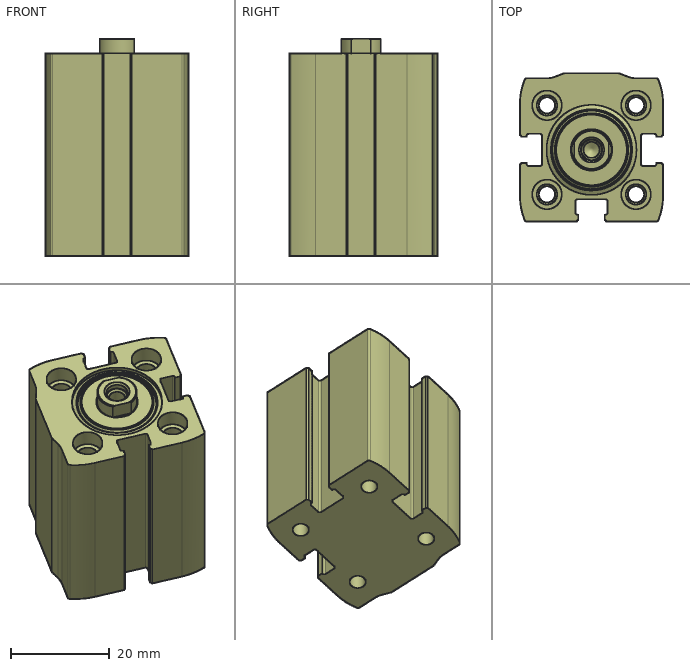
import cadquery as cq
import math

total_height = 44.0
body_height = 41.0
body_width = 29.0
body_depth = 30.0
half_width = body_width / 2
pad_face_y = body_depth - half_width
pad_half_width = 5.55
pad_flank_angle = 21.0
pad_foot_radius = 4.4

bow_start_y = 9.25
bow_radius = 13.2
corner_round = 0.5

slot_mouth_width = 5.3
slot_inner_width = 6.45
slot_lip = 1.4
slot_depth = 4.5
slot_mouth_round = 0.3
slot_inner_round = 0.4

mount_spacing = 18.0
mount_bore_d = 6.0
mount_bore_depth = 3.7
mount_thread_d = 4.15
mount_thread_depth = 14.1
mount_through_d = 3.25

ring_wall_d = 18.2
ring_wall_depth = 0.85
ring_crest_d = 16.45
ring_crest_depth = 0.35
ring_crest_chamfer_drop = 0.15
groove_d = 16.0
groove_depth = 0.75
cover_cone_bottom_d = 15.85
cover_cone_top_d = 14.85
cover_cone_top_depth = 0.3
cover_face_d = 14.25
cover_face_depth = 0.18

rod_d = 8.0
rod_chamfer = 0.18
rod_flat_width = 7.0
rod_flat_below_face = 0.45
rod_flat_runout_angle = 30.0
rod_flat_clearance = 0.45
rod_insert = 8.8
rod_bore_chamfer = 0.2

socket_mouth_d = 5.1
socket_bore_d = 4.3
socket_bore_depth = 1.5
socket_shoulder_d = 4.15
socket_core_d = 3.25
socket_core_depth = 6.15
drill_tip_half_angle = 59.0


def revolved(points):
    """Solid of revolution about Z from a closed (radius, height) outline."""
    return cq.Workplane("XZ").polyline(points).close().revolve(360, (0, 0), (0, 1))


def round_vertical_edges(body, places, radius):
    """Rounds the edges along Z that pass through the given (x, y) places."""
    for x, y in places:
        edge = body.edges("|Z").edges(cq.NearestToPointSelector((x, y, body_height / 2)))
        body = edge.fillet(radius)
    return body


def housing_block():
    """Solid block with bowed corners and the raised pad on +Y."""
    rise = half_width - bow_start_y
    corner_x = half_width - (bow_radius - math.sqrt(bow_radius**2 - rise**2))
    slope = math.radians(pad_flank_angle)
    flank_end_y = half_width + pad_foot_radius * (1 - math.cos(slope))
    flank_end_x = pad_half_width + (pad_face_y - flank_end_y) / math.tan(slope)
    foot_x = flank_end_x + pad_foot_radius * math.sin(slope)
    right_half = (
        cq.Workplane("XY")
        .moveTo(0, -half_width)
        .lineTo(corner_x, -half_width)
        .radiusArc((half_width, -bow_start_y), -bow_radius)
        .lineTo(half_width, bow_start_y)
        .radiusArc((corner_x, half_width), -bow_radius)
        .lineTo(foot_x, half_width)
        .radiusArc((flank_end_x, flank_end_y), pad_foot_radius)
        .lineTo(pad_half_width, pad_face_y)
        .lineTo(0, pad_face_y)
        .close()
        .extrude(body_height)
    )
    corners = [(corner_x, -half_width), (corner_x, half_width)]
    right_half = round_vertical_edges(right_half, corners, corner_round)
    return right_half.union(right_half.mirror("YZ"))


def slot_cutter(angle):
    """T-slot along Z that opens on -Y, turned about Z by the given angle."""
    mouth_half = slot_mouth_width / 2
    lip_y = -half_width + slot_lip
    inner = (
        cq.Workplane("XY")
        .rect(slot_inner_width, slot_depth - slot_lip)
        .extrude(body_height)
        .edges("|Z")
        .fillet(slot_inner_round)
        .translate((0, (lip_y - half_width + slot_depth) / 2, 0))
    )
    mouth = (
        cq.Workplane("XY")
        .moveTo(-mouth_half - slot_mouth_round, -half_width)
        .radiusArc((-mouth_half, -half_width + slot_mouth_round), slot_mouth_round)
        .lineTo(-mouth_half, lip_y)
        .lineTo(mouth_half, lip_y)
        .lineTo(mouth_half, -half_width + slot_mouth_round)
        .radiusArc((mouth_half + slot_mouth_round, -half_width), slot_mouth_round)
        .close()
        .extrude(body_height)
    )
    cutter = inner.union(mouth)
    return cutter.rotate((0, 0, 0), (0, 0, 1), angle)


def mount_hole():
    """Counterbored through hole that narrows below its threaded length."""
    cone_end = mount_thread_depth + (mount_thread_d - mount_through_d) / 2
    return revolved(
        [
            (0, body_height),
            (mount_bore_d / 2, body_height),
            (mount_bore_d / 2, body_height - mount_bore_depth),
            (mount_thread_d / 2, body_height - mount_bore_depth),
            (mount_thread_d / 2, body_height - mount_thread_depth),
            (mount_through_d / 2, body_height - cone_end),
            (mount_through_d / 2, 0),
            (0, 0),
        ]
    )


def cover_recess():
    """Shallow dish above the cover with two ring grooves around it."""
    return revolved(
        [
            (0, body_height),
            (ring_wall_d / 2, body_height),
            (ring_wall_d / 2, body_height - ring_wall_depth),
            (ring_crest_d / 2, body_height - ring_crest_depth),
            (groove_d / 2, body_height - ring_crest_depth - ring_crest_chamfer_drop),
            (groove_d / 2, body_height - groove_depth),
            (cover_cone_bottom_d / 2, body_height - groove_depth),
            (cover_cone_top_d / 2, body_height - cover_cone_top_depth),
            (cover_face_d / 2, body_height - cover_face_depth),
            (0, body_height - cover_face_depth),
        ]
    )


def rod_bore():
    """Blind bore for the rod, chamfered where it meets the cover face."""
    face_z = body_height - cover_face_depth
    return revolved(
        [
            (0, face_z),
            (rod_d / 2 + rod_bore_chamfer, face_z),
            (rod_d / 2, face_z - rod_bore_chamfer),
            (rod_d / 2, body_height - rod_insert),
            (0, body_height - rod_insert),
        ]
    )


def make_housing():
    body = housing_block()
    for angle in (0, 90, 270):
        body = body.cut(slot_cutter(angle))
    for x_side in (-1, 1):
        for y_side in (-1, 1):
            place = (x_side * mount_spacing / 2, y_side * mount_spacing / 2, 0)
            body = body.cut(mount_hole().translate(place))
    return body.cut(cover_recess()).cut(rod_bore())


def rod_socket():
    """Stepped blind hole in the rod end, with a drill tip."""
    tip = socket_core_d / 2 / math.tan(math.radians(drill_tip_half_angle))
    shoulder_drop = (socket_shoulder_d - socket_core_d) / 2
    mouth_drop = (socket_mouth_d - socket_bore_d) / 2
    return revolved(
        [
            (0, total_height),
            (socket_mouth_d / 2, total_height),
            (socket_bore_d / 2, total_height - mouth_drop),
            (socket_bore_d / 2, total_height - socket_bore_depth),
            (socket_shoulder_d / 2, total_height - socket_bore_depth),
            (socket_core_d / 2, total_height - socket_bore_depth - shoulder_drop),
            (socket_core_d / 2, total_height - socket_core_depth),
            (0, total_height - socket_core_depth - tip),
        ]
    )


def flat_cutter():
    """Block that removes the rod's +X side and ends in a sloped run-out."""
    flat_x = rod_flat_width / 2
    outer_x = rod_d / 2 + rod_flat_clearance
    runout_drop = (outer_x - flat_x) * math.tan(math.radians(rod_flat_runout_angle))
    flat_end = body_height - rod_flat_below_face
    return (
        cq.Workplane("XZ")
        .polyline(
            [
                (flat_x, total_height),
                (outer_x, total_height),
                (outer_x, flat_end - runout_drop),
                (flat_x, flat_end),
            ]
        )
        .close()
        .extrude(rod_d / 2, both=True)
    )


def make_rod():
    rod = (
        cq.Workplane("XY", origin=(0, 0, body_height - rod_insert))
        .circle(rod_d / 2)
        .extrude(total_height - body_height + rod_insert)
        .faces(">Z")
        .chamfer(rod_chamfer)
    )
    flat = flat_cutter()
    return rod.cut(rod_socket()).cut(flat).cut(flat.mirror("YZ"))


housing = make_housing()
piston_rod = make_rod()
result = cq.Compound.makeCompound([housing.val(), piston_rod.val()])